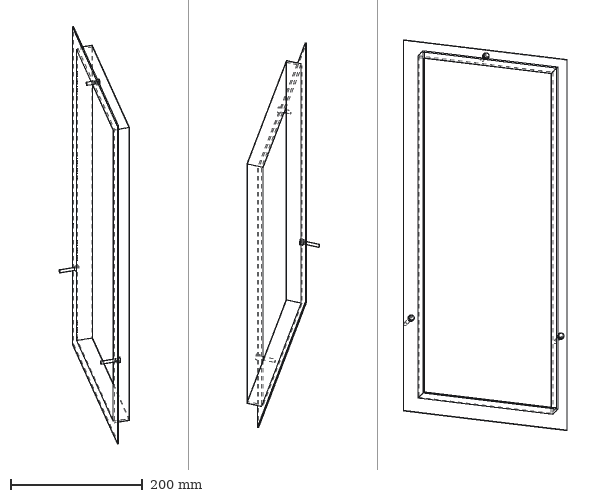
import cadquery as cq

sheet = 2.0
flange_width = 262.0
flange_height = 600.0
border = 25.0
collar_depth = 25.0
bottom_drop = 0.09

opening_width = flange_width - 2 * border
opening_bottom = border - bottom_drop
opening_top = flange_height - border

head_diameter = 9.0
head_back = 7.0
head_chamfer = 0.5
shank_diameter = 4.9
side_screw_tip = -23.0
top_screw_tip = -13.0
side_screw_x = 120.0
side_screw_z = 150.0
top_screw_z = flange_height - 11.0

screw_places = [
    (-side_screw_x, side_screw_z, side_screw_tip),
    (side_screw_x, side_screw_z, side_screw_tip),
    (0.0, top_screw_z, top_screw_tip),
]


def block(width, z_bottom, z_top, depth):
    """Box centred on X = 0, reaching back from the frame's front face at Y = 0."""
    return (
        cq.Workplane("XY", origin=(0, 0, z_bottom))
        .box(width, depth, z_top - z_bottom, centered=(True, False, False))
    )


def rod(x, z, diameter, y_front, y_back):
    """Round bar along Y."""
    return (
        cq.Workplane("XZ", origin=(x, y_back, z))
        .circle(diameter / 2)
        .extrude(y_back - y_front)
    )


def make_frame():
    """Flange with its opening, lowered bottom strip, collar and screw holes."""
    flange = block(flange_width, 0, flange_height, sheet)
    bottom_strip = block(opening_width, -bottom_drop, border, sheet)
    collar = block(opening_width + 2 * sheet, opening_bottom - sheet, opening_top + sheet, collar_depth)
    opening = block(opening_width, opening_bottom, opening_top, collar_depth)
    frame = flange.union(bottom_strip).union(collar).cut(opening)
    for x, z, _ in screw_places:
        frame = frame.cut(rod(x, z, shank_diameter, 0, sheet))
    return frame


def make_screw(x, z, y_tip):
    """Round head with a chamfered rim behind the flange, and a plain shank."""
    head = rod(x, z, head_diameter, sheet, head_back).faces(">Y").chamfer(head_chamfer)
    shank = rod(x, z, shank_diameter, y_tip, head_back)
    return head.union(shank)


frame = make_frame()
screws = [make_screw(*place) for place in screw_places]

result = cq.Compound.makeCompound([frame.val(), *[screw.val() for screw in screws]])